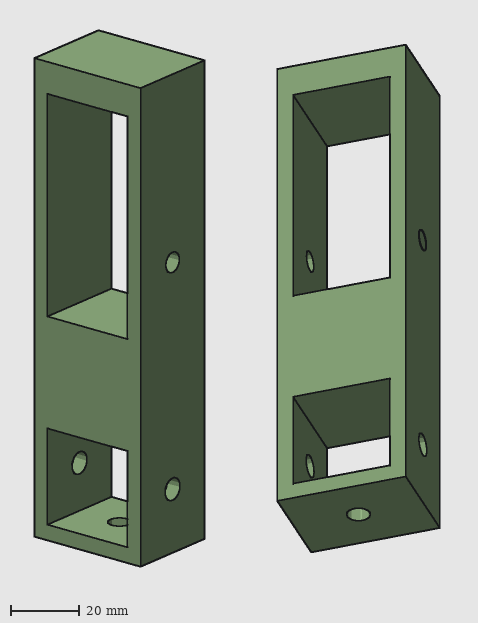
import cadquery as cq

height = 150
width = 40.0
depth = 30
wall = 5.0

window_width = width - 2 * wall
lower_window_height = 30.2
upper_window_height = 69.8
top_wall = 10.0

cross_hole_diameter = 6.9
side_hole_diameter = 6.3
floor_hole_diameter = 6.9
cross_hole_z = 20.0
side_hole_z = 91.0
recess_depth = 0.2


def window(bottom_z, window_height):
    """Rectangular opening running through the full depth of the block."""
    return (
        cq.Workplane("XY")
        .box(window_width, depth, window_height, centered=(True, True, False))
        .translate((0, 0, bottom_z))
    )


def hole_along_x(diameter, start_x, length, z):
    """Round hole along X in the middle of the depth."""
    return cq.Workplane("YZ", origin=(start_x, 0, z)).circle(diameter / 2).extrude(length)


block = cq.Workplane("XY").box(width, depth, height, centered=(True, True, False))
lower_window = window(wall, lower_window_height)
upper_window = window(height - top_wall - upper_window_height, upper_window_height)

cross_hole = hole_along_x(cross_hole_diameter, -width / 2, width, cross_hole_z)
side_hole = hole_along_x(side_hole_diameter, window_width / 2, wall, side_hole_z)

recess = hole_along_x(side_hole_diameter, -width / 2, recess_depth, side_hole_z)

floor_hole = cq.Workplane("XY").circle(floor_hole_diameter / 2).extrude(wall)

result = (
    block.cut(lower_window)
    .cut(upper_window)
    .cut(cross_hole)
    .cut(side_hole)
    .cut(recess)
    .cut(floor_hole)
)